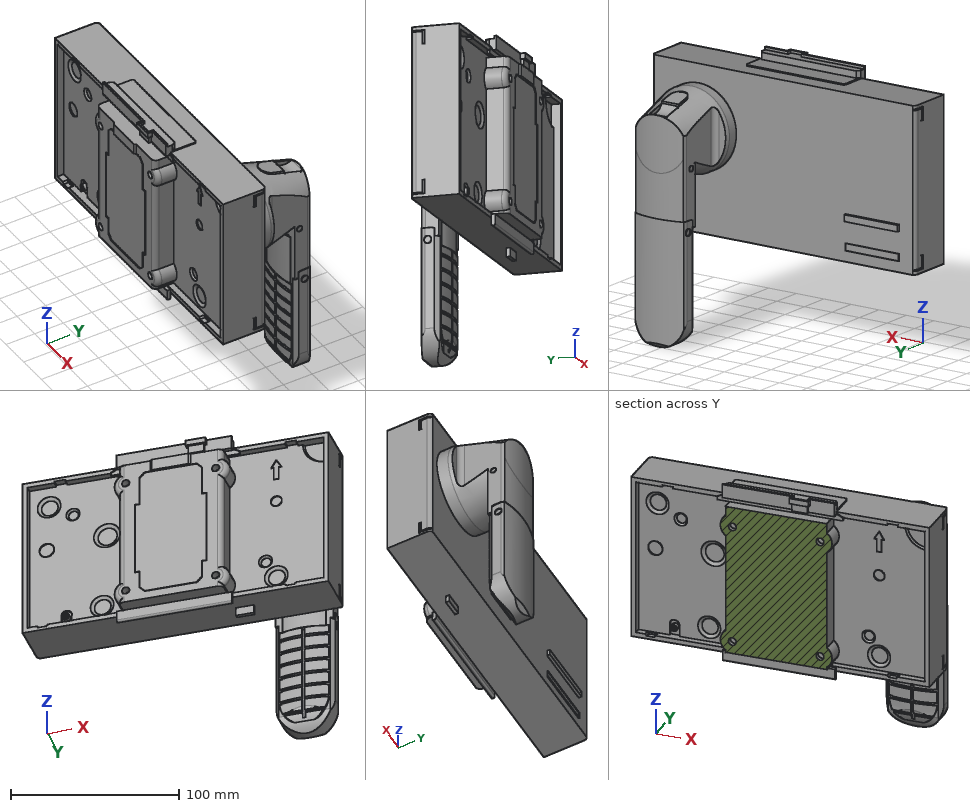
import cadquery as cq
import math


width = 191.0
height = 105.0
depth = 30.2
wall = 3.0
floor_y = 4.4
overlap = 1.0
clearance = 2.0

module_half_width = 32.5
module_bottom = 3.2
module_top = 99.7
module_face_y = -9.5
module_edge_round = 3.2
ear_x = 28.0
ear_zs = (11.3, 87.0)
ear_radius = 7.8
screw_radius = 2.3
screw_depth = 5.7
panel_recess = 0.5
module_pad_y = -10.7

bracket_half_width = 36.0
bracket_bottom = 103.4
block_top = 110.2
lip_top = 112.0
lip_back_y = -2.0
lip_front_y = -3.2

handle_x = 61.5
hub_z = 65.7
hub_radius = 27.3
hub_cone_y = 37.6
hub_cone_slope = 0.26
disc_y = 40.3
handle_half_width = 18.3
hub_fillet = 3.5
handle_back_y = 74.0
crown_base_y = 68.5
crown_edge_y = 70.9
grip_front_y = 59.8
grip_bottom = -61.0
grip_end_z = grip_bottom + handle_half_width
grip_edge_y = 62.7
strip_half_width = 15.3
pad_front_y = 57.5
ridge_front_y = 57.0
ridge_bottom = 8.6
sleeve_top = 19.3


def box(x0, x1, y0, y1, z0, z1):
    """Axis-aligned block between the given limits."""
    return cq.Workplane("XY").box(x1 - x0, y1 - y0, z1 - z0, centered=False).translate((x0, y0, z0))


def prism_y(points, y0, y1):
    """Outline in X and Z, extruded from y0 to y1."""
    return cq.Workplane("XZ", origin=(0, y0, 0)).polyline(points).close().extrude(y0 - y1)


def rod_y(x, z, radius, y0, y1, end_radius=None):
    """Cylinder, or cone when end_radius is given, along Y."""
    start = cq.Vector(x, y0, z)
    along = cq.Vector(0, 1, 0)
    if end_radius is None:
        return cq.Workplane(cq.Solid.makeCylinder(radius, y1 - y0, start, along))
    return cq.Workplane(cq.Solid.makeCone(radius, end_radius, y1 - y0, start, along))


def rod_x(y, z, radius, x0, x1):
    """Cylinder along X."""
    return cq.Workplane(cq.Solid.makeCylinder(radius, x1 - x0, cq.Vector(x0, y, z), cq.Vector(1, 0, 0)))


def make_housing():
    half = width / 2
    round_start_y, round_inset = 27.1, 1.5
    bulge_x, bulge_y = 0.48, 29.0
    body = (
        cq.Workplane("XY")
        .moveTo(-half, 0)
        .lineTo(half, 0)
        .lineTo(half, round_start_y)
        .threePointArc((half - bulge_x, bulge_y), (half - round_inset, depth))
        .lineTo(-half + round_inset, depth)
        .threePointArc((-half + bulge_x, bulge_y), (-half, round_start_y))
        .close()
        .extrude(height)
    )
    return body.cut(box(-half + wall, half - wall, 0, floor_y, wall, height - wall))


def cut_floor_marks(body):
    dimple_depth = 1.3
    dimples = [
        (-80.2, 88.5, 7.3, 5.2),
        (-44.1, 61.5, 8.2, 6.0),
        (-47.2, 12.5, 7.3, 5.2),
        (handle_x, 12.5, 7.3, 5.2),
        (-65.3, 80.5, 4.2, 3.0),
        (54.8, 24.3, 4.2, 3.0),
    ]
    for x, z, mouth, bottom in dimples:
        body = body.cut(rod_y(x, z, mouth, floor_y, floor_y + dimple_depth, bottom))

    recess_depth = 0.8
    for x, z, radius in [(-81.8, 58.5, 4.5), (handle_x, hub_z, 3.5)]:
        body = body.cut(rod_y(x, z, radius, floor_y, floor_y + recess_depth))

    corner_x = width / 2 - wall
    corner_z = height - wall
    corner_mouth, corner_bottom = 14.3, 13.4
    corner = rod_y(corner_x, corner_z, corner_mouth, floor_y, floor_y + dimple_depth, corner_bottom)
    body = body.cut(corner.intersect(box(0, corner_x, 0, depth, 0, corner_z)))

    engraving = 0.4
    shaft, head = 1.5, 3.2
    arrow_bottom, head_bottom, arrow_tip = 81.2, 89.5, 94.5
    arrow = [
        (handle_x - shaft, arrow_bottom), (handle_x + shaft, arrow_bottom),
        (handle_x + shaft, head_bottom), (handle_x + head, head_bottom),
        (handle_x, arrow_tip),
        (handle_x - head, head_bottom), (handle_x - shaft, head_bottom),
    ]
    return body.cut(prism_y(arrow, floor_y, floor_y + engraving))


def add_indicator_pin(body):
    """Arched pocket at the lower wall with a hollow pin standing in it."""
    pin_x, pin_z, pin_radius = -69.4, 8.6, 2.1
    arch_z, arch_radius = 10.1, 3.2
    bore_radius, bore_depth = 1.0, 2.0
    pocket_y = floor_y + 1.5
    tip_y = floor_y - 1.3
    body = body.cut(rod_y(pin_x, arch_z, arch_radius, floor_y, pocket_y))
    body = body.cut(box(pin_x - arch_radius, pin_x + arch_radius, floor_y, pocket_y, wall, arch_z))
    body = body.union(rod_y(pin_x, pin_z, pin_radius, tip_y, pocket_y + overlap))
    return body.cut(rod_y(pin_x, pin_z, bore_radius, tip_y, tip_y + bore_depth))


def cut_wall_notches(body):
    """Shallow snap notches in the inner faces of the top and bottom walls."""
    half, deep, slope = 3.5, 1.1, 1.1
    lower_notch_y = 3.2
    inner_top = height - wall
    for x in (-72.2, 71.8):
        body = body.cut(box(x - half, x + half, 0, floor_y, inner_top, inner_top + deep))
    for x in (-83.1, 71.8):
        notch = [
            (x - half, wall), (x + half, wall),
            (x + half - slope, wall - deep), (x - half + slope, wall - deep),
        ]
        body = body.cut(prism_y(notch, 0, lower_notch_y))
    return body


def cut_side_slots(body):
    """L-shaped grooves on both ends, near the top and bottom back edges."""
    groove_depth, groove_width = 1.0, 0.8
    slot_y0, slot_y1, slot_length, edge_gap = 21.5, 23.1, 8.5, 2.3
    for x in (-width / 2, width / 2 - groove_depth):
        for low, high, leg_low in (
            (edge_gap, edge_gap + slot_length, edge_gap),
            (height - edge_gap - slot_length, height - edge_gap, height - edge_gap - groove_width),
        ):
            body = body.cut(box(x, x + groove_depth, slot_y0, slot_y1, low, high))
            body = body.cut(box(x, x + groove_depth, slot_y1, depth, leg_low, leg_low + groove_width))
    return body


def make_module():
    bottom_y = floor_y + overlap
    body = box(-module_half_width, module_half_width, module_face_y, bottom_y, module_bottom, module_top)
    body = body.edges("|Z and <Y").fillet(module_edge_round)

    for x in (-ear_x, ear_x):
        for z in ear_zs:
            ear = rod_y(x, z, ear_radius, module_face_y, bottom_y)
            body = body.union(ear.faces("<Y").edges().fillet(module_edge_round))
    for x in (-ear_x, ear_x):
        for z in ear_zs:
            body = body.cut(rod_y(x, z, screw_radius, module_face_y, module_face_y + screw_depth))

    narrow, wide, corner = 19.5, 22.4, 3.2
    z0, z1, z2, z3 = 8.8, 23.1, 70.7, 92.5
    right_side = [
        (narrow - corner, z0), (narrow, z0 + corner), (narrow, z1), (wide, z1),
        (wide, z2), (narrow, z2), (narrow, z3 - corner), (narrow - corner, z3),
    ]
    left_side = [(-x, z) for x, z in reversed(right_side)]
    body = body.cut(prism_y(right_side + left_side, module_face_y, module_face_y + panel_recess))

    base, crest = 12.6, 11.5
    pad_outline = [
        (-base, module_face_y), (-crest, module_pad_y),
        (crest, module_pad_y), (base, module_face_y),
    ]
    pad = (
        cq.Workplane("XY", origin=(0, 0, z3))
        .polyline(pad_outline)
        .close()
        .extrude(module_top - z3)
    )
    return body.union(pad)


def make_bracket():
    half = bracket_half_width
    tongue_length, tongue_thickness, tongue_corner = 18.2, 0.8, 1.5
    tongue = box(-half, half, 0, tongue_length, height - overlap, height + tongue_thickness)
    tongue = tongue.edges("|Z and >Y").fillet(tongue_corner)
    block_back_y, bevel_long, bevel_short = 3.8, 2.5, 1.5
    block = box(-half, half, lip_back_y, block_back_y, bracket_bottom, block_top)
    block = block.edges("|Z and >Y").chamfer(bevel_long, bevel_short)
    lip = box(-half, half, lip_front_y, lip_back_y, bracket_bottom, lip_top)

    bulge_x0, bulge_x1, bulge_y = 9.5, 19.3, -5.2
    rim, rim_bottom = 1.3, 108.5
    wrap = box(bulge_x0 - rim, bulge_x1 + rim, bulge_y - rim, lip_back_y, rim_bottom, lip_top)
    bulge = box(bulge_x0, bulge_x1, bulge_y, lip_back_y, bracket_bottom, block_top)
    gap = box(bulge_x0, bulge_x1, bulge_y, lip_back_y, block_top, lip_top)

    flare, skirt_thickness, skirt_bottom, flare_z = 40.1, 0.5, 100.1, 102.2
    skirt = prism_y(
        [(-flare, skirt_bottom), (flare, skirt_bottom), (flare, flare_z), (half, bracket_bottom + overlap),
         (-half, bracket_bottom + overlap), (-flare, flare_z)],
        -skirt_thickness, overlap,
    )
    return tongue.union(block).union(lip).union(wrap).cut(gap).union(bulge).union(skirt)


def make_bottom_tabs():
    flange_thickness, flange_bottom, flange_top, edge_round = 2.5, -4.8, 2.3, 1.1
    flange = box(-bracket_half_width, bracket_half_width, -flange_thickness, 0, flange_bottom, flange_top)
    flange = flange.edges("|X and <Z").fillet(edge_round)
    plate_x0, plate_x1, plate_y0, plate_y1, plate_drop = 34.0, 45.0, 11.8, 14.1, 5.3
    plate = box(plate_x0, plate_x1, plate_y0, plate_y1, -plate_drop, overlap)
    return flange.union(plate)


def make_back_bars():
    """Two low bars on the back face."""
    x0, x1 = -84.0, -45.5
    upper_height, upper_z0, upper_z1 = 2.0, 25.6, 29.8
    lower_height, lower_z0, lower_z1 = 0.5, 7.0, 11.7
    upper = box(x0, x1, depth - overlap, depth + upper_height, upper_z0, upper_z1)
    lower = box(x0, x1, depth - overlap, depth + lower_height, lower_z0, lower_z1)
    return upper.union(lower)


def cone_radius(y):
    return hub_radius - hub_cone_slope * (y - hub_cone_y)


def draw_crown(sketch, half):
    """Continue a section up its right side, over the bowed back and down to the left side."""
    bevel = 0.5
    return (
        sketch
        .lineTo(half, crown_base_y)
        .lineTo(half - bevel, crown_edge_y)
        .threePointArc((0, handle_back_y), (-half + bevel, crown_edge_y))
        .lineTo(-half, crown_base_y)
    )


def neck(bottom_z, top_z):
    """Upright bar of handle width that flares onto the hub's disc and has a crowned back."""
    reach = hub_radius + clearance
    fillet_y = disc_y + hub_fillet
    bend = hub_fillet * (1 - math.sqrt(0.5))
    taper = 0.4
    right_side = (
        cq.Workplane("XY", origin=(handle_x, 0, bottom_z))
        .moveTo(-reach, hub_cone_y)
        .lineTo(reach, hub_cone_y)
        .lineTo(reach, disc_y)
        .lineTo(handle_half_width + hub_fillet, disc_y)
        .threePointArc((handle_half_width + bend, disc_y + bend), (handle_half_width, fillet_y))
    )
    return (
        draw_crown(right_side, handle_half_width - taper)
        .lineTo(-handle_half_width, fillet_y)
        .threePointArc((-handle_half_width - bend, disc_y + bend), (-handle_half_width - hub_fillet, disc_y))
        .lineTo(-reach, disc_y)
        .close()
        .extrude(top_z - bottom_z)
    )


def make_hub():
    """Disc and cone, the cone trimmed by the neck's sides and back."""
    rim = rod_y(handle_x, hub_z, hub_radius, depth - overlap, hub_cone_y)
    cone = rod_y(handle_x, hub_z, hub_radius, hub_cone_y, handle_back_y, cone_radius(handle_back_y))
    core = neck(hub_z - hub_radius - clearance, hub_z + hub_radius + clearance)
    return rim.union(cone.intersect(core))


def add_hub_latch(body):
    """Round-ended button on the sloping top of the hub and the thumb recess behind it."""
    half = 6.1
    tip_y, break_y = 46.0, 59.8
    scoop_y, scoop_end_y, scoop_depth = 67.3, 72.6, 3.6
    proud, sunk = 0.5, 0.8
    root = 3.8

    def top_z(y):
        return hub_z + cone_radius(y)

    slope_band = (
        cq.Workplane("YZ", origin=(handle_x - half, 0, 0))
        .polyline([(tip_y, top_z(tip_y) - root), (break_y, top_z(break_y) - root),
                   (break_y, top_z(break_y) + proud), (tip_y, top_z(tip_y) + proud)])
        .close()
        .extrude(2 * half)
    )
    outline = (
        cq.Workplane("XY", origin=(handle_x, 0, hub_z))
        .moveTo(-half, break_y)
        .lineTo(-half, tip_y + half)
        .threePointArc((0, tip_y), (half, tip_y + half))
        .lineTo(half, break_y)
        .close()
        .extrude(hub_radius + clearance)
    )
    recess = (
        cq.Workplane("YZ", origin=(handle_x - half, 0, 0))
        .moveTo(break_y, hub_z + hub_radius)
        .lineTo(break_y, top_z(break_y) - sunk)
        .threePointArc((scoop_y, top_z(scoop_y) - scoop_depth), (scoop_end_y, top_z(scoop_end_y) - sunk))
        .lineTo(handle_back_y, top_z(handle_back_y))
        .lineTo(handle_back_y, hub_z + hub_radius)
        .close()
        .extrude(2 * half)
    )
    return body.union(slope_band.intersect(outline)).cut(recess)


def grip_bar(half, top_z):
    """Bar of crowned section with a semicircular lower end, cut off at top_z."""
    border = 0.8
    edge = half - strip_half_width - border
    front = (
        cq.Workplane("XY", origin=(handle_x, 0, grip_bottom))
        .moveTo(-half, grip_edge_y)
        .lineTo(-half + edge, grip_front_y)
        .lineTo(half - edge, grip_front_y)
        .lineTo(half, grip_edge_y)
    )
    section = draw_crown(front, half).close().extrude(top_z - grip_bottom)
    y0 = grip_front_y - clearance
    y1 = handle_back_y + clearance
    outline = rod_y(handle_x, grip_end_z, half, y0, y1).union(
        box(handle_x - half, handle_x + half, y0, y1, grip_end_z, top_z)
    )
    return section.intersect(outline)


def toe_profile(front_y, arc_top_z, arc_middle, toe_y):
    """Side profile that rounds the grip's lower end toward the front and bevels its back edge."""
    heel_y, heel = 71.0, 2.9
    return (
        cq.Workplane("YZ")
        .moveTo(front_y, hub_z)
        .lineTo(front_y, arc_top_z)
        .threePointArc(arc_middle, (toe_y, grip_bottom))
        .lineTo(heel_y, grip_bottom)
        .lineTo(handle_back_y, grip_bottom + heel)
        .lineTo(handle_back_y, hub_z)
        .close()
        .extrude(width)
    )


def crowned_strip(half, shoulder_y, front_y, bottom_z, top_z):
    """Upright strip on the grip's front with a bowed face."""
    root_y = grip_front_y + overlap
    return (
        cq.Workplane("XY", origin=(handle_x, 0, bottom_z))
        .moveTo(-half, root_y)
        .lineTo(-half, shoulder_y)
        .threePointArc((0, front_y), (half, shoulder_y))
        .lineTo(half, root_y)
        .close()
        .extrude(top_z - bottom_z)
    )


def make_pads():
    """Bowed strip with a rounded lower end, split into pads by grooves."""
    half = strip_half_width
    shoulder, end_lift = 0.5, 1.1
    toe_start, toe_middle, toe_y = 3.8, (59.8, -53.5), 64.5
    end_z = grip_end_z + end_lift
    front_y = ridge_front_y - clearance
    strip = crowned_strip(half, grip_front_y - shoulder, pad_front_y, grip_bottom, ridge_bottom)
    outline = rod_y(handle_x, end_z, half, front_y, handle_back_y).union(
        box(handle_x - half, handle_x + half, front_y, handle_back_y, end_z, ridge_bottom)
    )
    strip = strip.intersect(outline)
    strip = strip.intersect(toe_profile(ridge_front_y, grip_end_z + toe_start, toe_middle, toe_y))

    groove, pitch, first_groove_z, groove_count = 1.7, 8.8, 2.9, 7
    strip = strip.cut(
        box(handle_x - groove / 2, handle_x + groove / 2, front_y, grip_front_y, grip_bottom, ridge_bottom)
    )
    for i in range(groove_count):
        z = first_groove_z - i * pitch
        strip = strip.cut(
            box(handle_x - half, handle_x + half, front_y, grip_front_y, z - groove / 2, z + groove / 2)
        )
    return strip


def make_grip():
    arch_radius = 5.3
    bar_bottom = sleeve_top - arch_radius
    bar = neck(bar_bottom, hub_z).intersect(
        box(0, width, grip_front_y, handle_back_y + clearance, bar_bottom, hub_z)
    )
    sleeve = grip_bar(handle_half_width, sleeve_top)
    sleeve = sleeve.edges("|X and >Z and <Y").fillet(arch_radius)
    toe_middle, toe_y = (61.1, -54.5), 65.5
    body = bar.union(sleeve).intersect(toe_profile(grip_front_y, grip_end_z, toe_middle, toe_y))

    ridge_top, ridge_half, ridge_shoulder = 43.0, 13.5, 0.2
    shoulder_y = grip_front_y - ridge_shoulder
    ridge = crowned_strip(ridge_half, shoulder_y, ridge_front_y, ridge_bottom, ridge_top)
    return body.union(make_pads()).union(ridge)


def cut_pin_marks(body):
    """Shallow round pin recesses on both sides of the grip: y, z, radius."""
    pin_depth = 0.5
    for y, z, radius in [(63.5, 50.8, 2.0), (66.9, 12.0, 2.3)]:
        for side in (-1, 1):
            face_x = handle_x + side * (handle_half_width - pin_depth)
            outside_x = handle_x + side * (handle_half_width + clearance)
            body = body.cut(rod_x(y, z, radius, min(face_x, outside_x), max(face_x, outside_x)))
    return body


housing = cut_side_slots(cut_wall_notches(add_indicator_pin(cut_floor_marks(make_housing()))))
handle = cut_pin_marks(add_hub_latch(make_hub().union(make_grip())))

result = (
    housing
    .union(make_module())
    .union(make_bracket())
    .union(make_bottom_tabs())
    .union(make_back_bars())
    .union(handle)
)